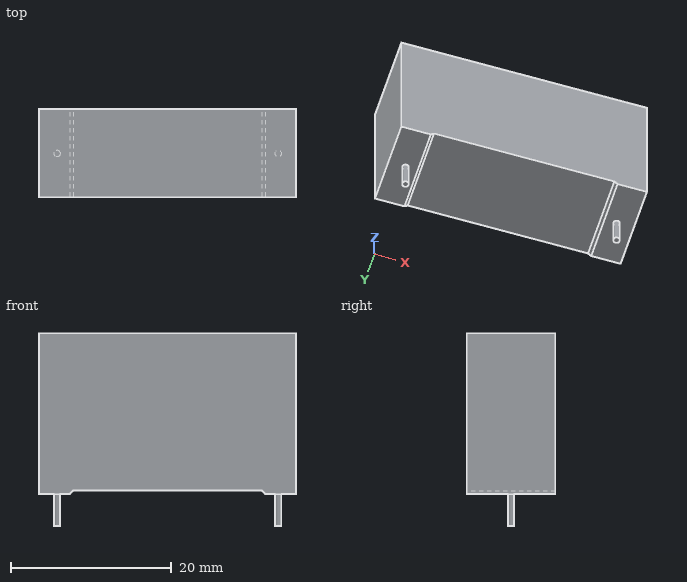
import cadquery as cq


case_length = 32.0
case_width = 11.0
case_height = 20.0

foot_length = 3.85
relief_depth = 0.4
bevel_length = 0.4

lead_diameter = 0.8
lead_length = 4.0
lead_pitch = 27.5


def make_case():
    """Case standing on z = 0, with the relief running through its full width."""
    half_length = case_length / 2
    foot_edge = half_length - foot_length
    relief_edge = foot_edge - bevel_length
    outline = [
        (-half_length, case_height),
        (-half_length, 0),
        (-foot_edge, 0),
        (-relief_edge, relief_depth),
        (relief_edge, relief_depth),
        (foot_edge, 0),
        (half_length, 0),
        (half_length, case_height),
    ]
    return cq.Workplane("XZ").polyline(outline).close().extrude(case_width / 2, both=True)


def make_leads():
    """Two leads hanging from the middle of the feet."""
    lead_places = [(-lead_pitch / 2, 0), (lead_pitch / 2, 0)]
    return cq.Workplane("XY").pushPoints(lead_places).circle(lead_diameter / 2).extrude(-lead_length)


result = make_case().union(make_leads())